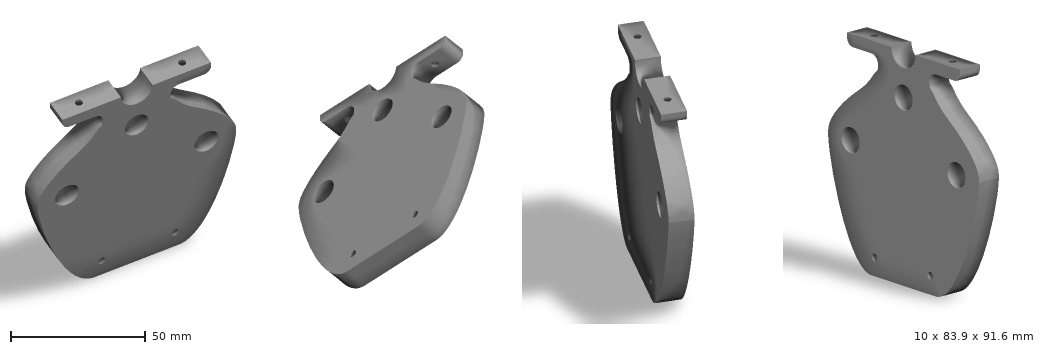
import cadquery as cq

height = 91.6
thickness = 10.0
half_width = 41.95

bar_half_length = 31.3
bar_height = 5.0
bar_corner_radius = 3.0
bar_hole_diameter = 3.0
bar_hole_offset = 21.8
notch_radius = 6.7

neck_half_width = 14.2
neck_fillet = 3.7
neck_flare_y = 18.3
neck_flare_z = 76.5
neck_bend_y = 15.3
neck_bend_z = 80.05

shoulder_z = 50.0
shoulder_bend_y = 39.75
shoulder_bend_z = 56.6
shoulder_top_y = 35.3
shoulder_top_z = 62.0

bottom_half_width = 17.8
side_upper_pull = 9.6
side_lower_pull = 13.5

large_hole_diameter = 10.1
top_hole_z = 73.4
side_hole_offset = 29.4
small_hole_diameter = 3.0
small_hole_spacing = 31.0
small_hole_centre_y = 0.6
small_hole_z = 7.4


def half_plate():
    """Half of the plate on the +Y side, extruded along +X."""
    bar_bottom = height - bar_height
    neck_z = bar_bottom - neck_fillet
    lower_side = [
        (bottom_half_width, 0),
        (bottom_half_width + side_lower_pull, 0),
        (half_width, shoulder_z - side_upper_pull),
        (half_width, shoulder_z),
    ]
    shoulder_to_neck = [
        (shoulder_bend_y, shoulder_bend_z),
        (shoulder_top_y, shoulder_top_z),
        ((shoulder_top_y + neck_flare_y) / 2, (shoulder_top_z + neck_flare_z) / 2),
        (neck_flare_y, neck_flare_z),
        (neck_bend_y, neck_bend_z),
        (neck_half_width, neck_z),
    ]
    end_tangents = [(0, 1), (0, 1)]
    return (
        cq.Workplane("YZ")
        .lineTo(bottom_half_width, 0)
        .bezier(lower_side)
        .spline(shoulder_to_neck, tangents=end_tangents, includeCurrent=True)
        .radiusArc((neck_half_width + neck_fillet, bar_bottom), neck_fillet)
        .lineTo(bar_half_length - bar_corner_radius, bar_bottom)
        .radiusArc((bar_half_length, bar_bottom + bar_corner_radius), -bar_corner_radius)
        .lineTo(bar_half_length, height)
        .lineTo(0, height)
        .close()
        .extrude(thickness)
    )


def cross_cylinders(centres, diameter):
    """Cylinders along X spanning the plate thickness."""
    return cq.Workplane("YZ").pushPoints(centres).circle(diameter / 2).extrude(thickness)


def bar_holes():
    """Vertical holes through the two arms of the crossbar."""
    return (
        cq.Workplane("XY", origin=(thickness / 2, 0, height - bar_height))
        .pushPoints([(0, side * bar_hole_offset) for side in (-1, 1)])
        .circle(bar_hole_diameter / 2)
        .extrude(bar_height)
    )


half = half_plate()
plate = half.union(half.mirror("XZ")).clean()

large_holes = [(0, top_hole_z)]
small_holes = []
for side in (-1, 1):
    large_holes.append((side * side_hole_offset, shoulder_z))
    small_holes.append((small_hole_centre_y + side * small_hole_spacing / 2, small_hole_z))

result = (
    plate.cut(cross_cylinders([(0, height)], 2 * notch_radius))
    .cut(cross_cylinders(large_holes, large_hole_diameter))
    .cut(cross_cylinders(small_holes, small_hole_diameter))
    .cut(bar_holes())
)